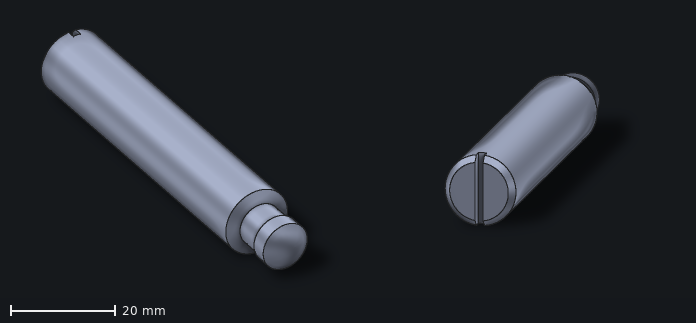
import cadquery as cq

total_length = 80.0
body_radius = 14.0 / 2
neck_radius = 9.0 / 2
head_radius = 10.0 / 2

end_chamfer = 1.227
slot_width = 1.6
slot_depth = 3.0

shoulder_to_tip = 12.0
head_length = 5.0
dome_height = 1.65
cone_length = 1.15

shoulder_x = total_length - shoulder_to_tip
neck_start_x = shoulder_x + cone_length
head_start_x = total_length - head_length
dome_start_x = total_length - dome_height

dome_radius = (head_radius**2 + dome_height**2) / (2 * dome_height)


def turned_pin():
    """Body, conical shoulder, neck and domed head, revolved about X."""
    dome_centre_x = total_length - dome_radius
    mid_radius = head_radius / 2
    mid_x = dome_centre_x + (dome_radius**2 - mid_radius**2) ** 0.5
    profile = (
        cq.Workplane("XY")
        .lineTo(0, body_radius - end_chamfer)
        .lineTo(end_chamfer, body_radius)
        .lineTo(shoulder_x, body_radius)
        .lineTo(neck_start_x, neck_radius)
        .lineTo(head_start_x, neck_radius)
        .lineTo(head_start_x, head_radius)
        .lineTo(dome_start_x, head_radius)
        .threePointArc((mid_x, mid_radius), (total_length, 0))
        .close()
    )
    return profile.revolve(360, (0, 0, 0), (1, 0, 0))


def screwdriver_slot():
    """Slot across the full height of the chamfered end."""
    return cq.Workplane("XY").box(
        slot_depth, slot_width, 2 * body_radius, centered=(False, True, True)
    )


result = turned_pin().cut(screwdriver_slot())